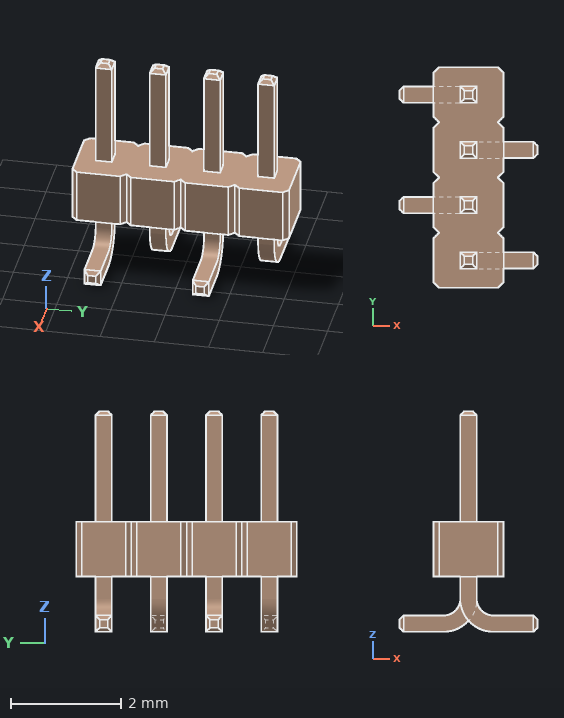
import cadquery as cq

pin_count = 4
pitch = 1.0
overall_height = 4.0
foot_span = 2.5

body_width = 1.27
body_height = 1.0
body_bottom = 1.0
corner_cut_x = 0.105
corner_cut_y = 0.1

pin_size = 0.3
half_pin = pin_size / 2
tip_inset = pin_size / 4
tip_length = tip_inset
bend_inner_radius = 0.3
bend_outer_radius = bend_inner_radius + pin_size


def body_segment(y):
    """One pitch of the body: a block with its four upright edges cut off at an angle."""
    half_width = body_width / 2
    half_pitch = pitch / 2
    side_y = half_pitch - corner_cut_y
    end_x = half_width - corner_cut_x
    outline = [
        (half_width, -side_y),
        (half_width, side_y),
        (end_x, half_pitch),
        (-end_x, half_pitch),
        (-half_width, side_y),
        (-half_width, -side_y),
        (-end_x, -half_pitch),
        (end_x, -half_pitch),
    ]
    return (
        cq.Workplane("XY", origin=(0, y, body_bottom))
        .polyline(outline)
        .close()
        .extrude(body_height)
    )


def tip():
    """Tapered pin end pointing along +Z from the origin."""
    end_size = pin_size - 2 * tip_inset
    return (
        cq.Workplane("XY")
        .rect(pin_size, pin_size)
        .workplane(offset=tip_length)
        .rect(end_size, end_size)
        .loft(ruled=True)
    )


def bent_pin():
    """Pin centred on the Z axis, with its foot pointing along +X."""
    shank_top = overall_height - tip_length
    foot_end = foot_span / 2 - tip_length
    bend_center_x = half_pin + bend_inner_radius
    shank = (
        cq.Workplane("XY", origin=(0, 0, bend_outer_radius))
        .rect(pin_size, pin_size)
        .extrude(shank_top - bend_outer_radius)
    )
    bend_and_foot = (
        cq.Workplane("XZ")
        .moveTo(-half_pin, bend_outer_radius)
        .radiusArc((bend_center_x, 0), -bend_outer_radius)
        .lineTo(foot_end, 0)
        .lineTo(foot_end, pin_size)
        .lineTo(bend_center_x, pin_size)
        .radiusArc((half_pin, bend_outer_radius), bend_inner_radius)
        .close()
        .extrude(half_pin, both=True)
    )
    top_tip = tip().translate((0, 0, shank_top))
    foot_tip = tip().rotate((0, 0, 0), (0, 1, 0), 90).translate((foot_end, 0, half_pin))
    return shank.union(bend_and_foot).union(top_tip).union(foot_tip)


result = cq.Workplane("XY")
for index in range(pin_count):
    y = (index - (pin_count - 1) / 2) * pitch
    foot_angle = 180 * (index % 2)
    pin = bent_pin().rotate((0, 0, 0), (0, 0, 1), foot_angle).translate((0, y, 0))
    result = result.union(body_segment(y)).union(pin)